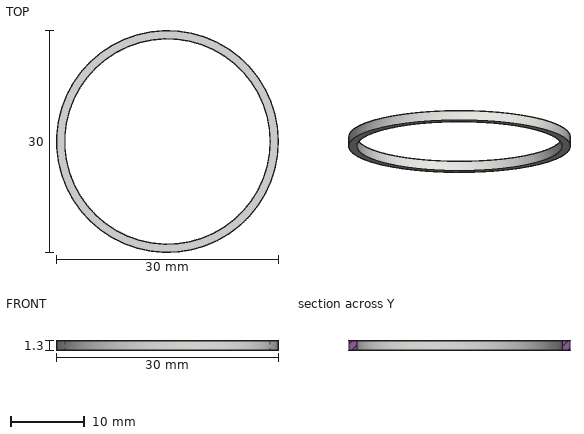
import cadquery as cq

outer_diameter = 30.02
inner_diameter = 27.75
height = 1.3

result = (
    cq.Workplane("XY")
    .circle(outer_diameter / 2)
    .circle(inner_diameter / 2)
    .extrude(height)
)